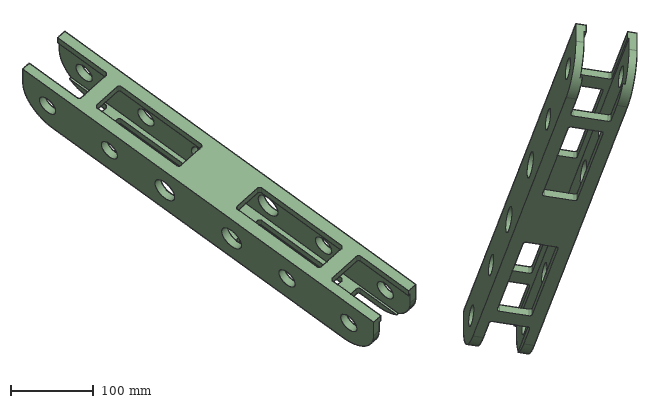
import cadquery as cq

length = 569.0
side = 76.0
wall = 10.0
bore = side - 2 * wall
end_radius = 49.0

small_hole = 26.0
large_hole = 32.0
outer_hole_x = length / 2 - 40.5
hole_pitch = 100.0
inner_hole_x = outer_hole_x - hole_pitch
large_hole_x = 54.0

notch_depth = 81.5
notch_width = 50.0
window_length = 136.0
window_width = 43.0
window_x = 114.0
corner_radius = 3.5

offset_notch_shift = 1.0


def tube():
    body = cq.Workplane("XY").box(length, side, side, centered=(True, True, False))
    body = body.edges("|Y and <Z").fillet(end_radius)
    hollow = cq.Workplane("XY").box(length, bore, bore).translate((0, 0, side / 2))
    return body.cut(hollow)


def cross_holes(diameter, distance):
    return (
        cq.Workplane("XZ", origin=(0, 0, side / 2))
        .pushPoints([(-distance, 0), (distance, 0)])
        .circle(diameter / 2)
        .extrude(side / 2, both=True)
    )


def windows():
    return (
        cq.Workplane("XY")
        .pushPoints([(-window_x, 0), (window_x, 0)])
        .rect(window_length, window_width)
        .extrude(side)
        .edges("|Z")
        .fillet(corner_radius)
    )


def end_notch(end, base_z, height, extra_width=0):
    """Open-ended notch at end -1 or +1, widened toward -Y by extra_width."""
    width = notch_width + extra_width
    centre_x = end * (length - notch_depth) / 2
    inner_edges = "|Z and >X" if end < 0 else "|Z and <X"
    return (
        cq.Workplane("XY", origin=(centre_x, -extra_width / 2, base_z))
        .rect(notch_depth, width)
        .extrude(height)
        .edges(inner_edges)
        .fillet(corner_radius)
    )


result = tube()
for diameter, distance in (
    (small_hole, outer_hole_x),
    (small_hole, inner_hole_x),
    (large_hole, large_hole_x),
):
    result = result.cut(cross_holes(diameter, distance))
result = result.cut(windows())
for end in (-1, 1):
    result = result.cut(end_notch(end, 0, side))
result = result.cut(end_notch(-1, side / 2, side / 2, offset_notch_shift))